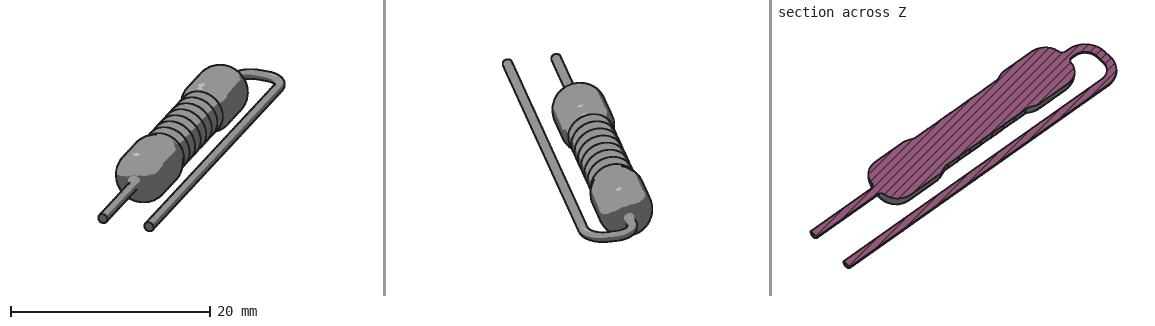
import cadquery as cq
import math

lead_radius = 0.5
bend_radius = 2.0
bend_gap = 1.0
lead_spacing = 2 * bend_radius + bend_gap
total_length = 37.1

tip_half_length = 13.02
cap_radius = 2.75
dome_radius = 2.0
neck_fillet = 0.5
cap_inner_end = 6.8
waist_radius = 2.35
band_radius = 2.355
band_count = 7
band_width = 1.5
waist_half_length = band_count * band_width / 2

stub_length = 0.45
bend_start = tip_half_length + stub_length
wire_top = bend_start + bend_radius
wire_bottom = wire_top + lead_radius - total_length

neck_center = (lead_radius + neck_fillet, tip_half_length)
dome_center_radius = cap_radius - dome_radius
center_distance = neck_fillet + dome_radius
center_offset = neck_center[0] - dome_center_radius
dome_start = tip_half_length - math.sqrt(center_distance**2 - center_offset**2)
dome_center = (dome_center_radius, dome_start)
dome_angle = math.atan2(tip_half_length - dome_start, center_offset)


def on_circle(center, radius, angle):
    """Point on a circle at the given angle in radians."""
    return (center[0] + radius * math.cos(angle), center[1] + radius * math.sin(angle))


def make_body_side():
    """Revolved +Y side of the body beyond the middle band: waist, S-shaped shoulder, cylinder, dome and neck."""
    contact = on_circle(dome_center, dome_radius, dome_angle)
    dome_middle = on_circle(dome_center, dome_radius, dome_angle / 2)
    neck_middle = on_circle(neck_center, neck_fillet, math.pi + dome_angle / 2)
    shoulder_middle = ((waist_radius + cap_radius) / 2, (waist_half_length + cap_inner_end) / 2)
    return (
        cq.Workplane("XY")
        .moveTo(0, band_width / 2)
        .lineTo(waist_radius, band_width / 2)
        .lineTo(waist_radius, waist_half_length)
        .tangentArcPoint(shoulder_middle, relative=False)
        .tangentArcPoint((cap_radius, cap_inner_end), relative=False)
        .lineTo(cap_radius, dome_start)
        .threePointArc(dome_middle, contact)
        .threePointArc(neck_middle, (lead_radius, tip_half_length))
        .lineTo(0, tip_half_length)
        .close()
        .revolve(360, (0, 0, 0), (0, 1, 0))
    )


def make_band(index, radius):
    """Disc filling one band of the waist, counted from the -Y end."""
    band_start = -waist_half_length + index * band_width
    return cq.Workplane("XZ", origin=(0, band_start, 0)).circle(radius).extrude(-band_width)


def make_lead(path):
    """Round wire swept along a path that starts along the Y direction."""
    start = path.val().startPoint().toTuple()
    return cq.Workplane("XZ", origin=start).circle(lead_radius).sweep(path)


def make_bent_lead():
    """Lead that leaves the +Y end and returns alongside the body."""
    path = (
        cq.Workplane("XY")
        .moveTo(0, tip_half_length)
        .lineTo(0, bend_start)
        .tangentArcPoint((bend_radius, wire_top), relative=False)
        .lineTo(bend_radius + bend_gap, wire_top)
        .tangentArcPoint((lead_spacing, bend_start), relative=False)
        .lineTo(lead_spacing, wire_bottom)
    )
    return make_lead(path.wire())


def make_straight_lead():
    """Lead that leaves the -Y end on the body axis."""
    path = cq.Workplane("XY").moveTo(0, -tip_half_length).lineTo(0, wire_bottom)
    return make_lead(path.wire())


body_side = make_body_side()
middle_band = make_band(band_count // 2, waist_radius)
result = middle_band.union(body_side).union(body_side.mirror("XZ"))

for band_index in range(0, band_count, 2):
    result = result.union(make_band(band_index, band_radius))

result = result.union(make_bent_lead()).union(make_straight_lead())